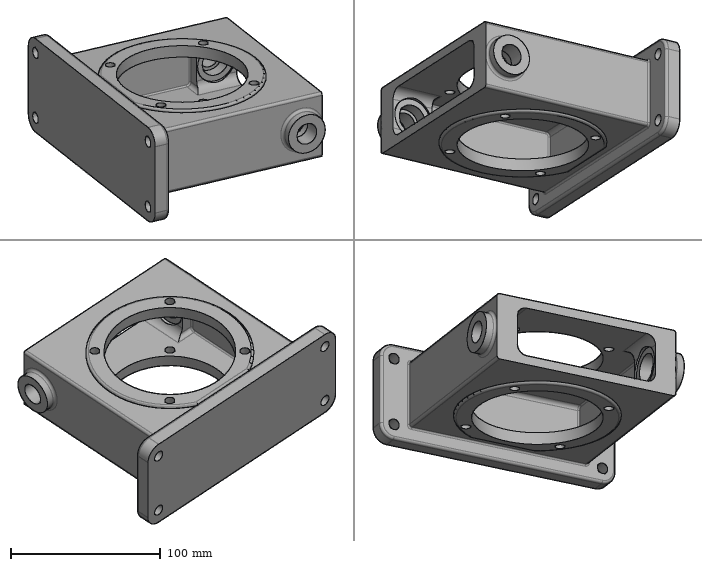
import cadquery as cq

PLATE_LENGTH = 177.5
PLATE_HEIGHT = 69.5
PLATE_THICKNESS = 11.0
PLATE_CORNER_RADIUS = 10.1
PLATE_HOLE_DIAMETER = 7.6
PLATE_HOLE_INSET_X = 10.1
PLATE_HOLE_INSET_Z = 10.7

OVERALL_DEPTH = 139.0
BODY_WIDTH = 135.0
BODY_HEIGHT = 48.0
EDGE_ROUND = 2.0
PLATE_JOINT_ROUND = 1.2

WALL = 6.5
STEP_ROUND = 3.0
SIDE_ROUND = 1.0
THROAT_DEPTH = 30.5
THROAT_ROUND = 7.0
THROAT_WIDTH = 104.0

FLANGE_CENTER_X = 0.5
FLANGE_CENTER_Y = 68.7
FLANGE_DIAMETER = 112.5
FLANGE_RISE = 2.0
FLANGE_ROUND = 1.8
FLANGE_FLAT_Y = 18.0
OPENING_DIAMETER = 88.0
FLANGE_HOLE_DIAMETER = 6.5
FLANGE_HOLE_SPACING = 71.0

BOSS_CENTER_Y = 123.4
BOSS_DIAMETER = 28.0
BOSS_SPAN = 149.3
BORE_DIAMETER = 15.0
SPOTFACE_DIAMETER = 28.4
SPOTFACE_DEPTH = 1.2
SEAT_DIAMETER = 19.9
SEAT_DEPTH = 8.9

CAVITY_HEIGHT = BODY_HEIGHT - 2 * WALL
CHAMBER_WIDTH = BODY_WIDTH - 2 * WALL
THROAT_START_Y = OVERALL_DEPTH - THROAT_DEPTH
SPOTFACE_SPAN = THROAT_WIDTH + 2 * SPOTFACE_DEPTH
FLANGE_SPAN = BODY_HEIGHT + 2 * FLANGE_RISE
BOSS_RADIUS = BOSS_DIAMETER / 2


def box_along_y(width, height, y_start, y_end):
    """Box centred on X and Z that reaches from y_start to y_end."""
    return cq.Workplane("XY").box(width, y_end - y_start, height).translate((0, (y_start + y_end) / 2, 0))


def cylinder_along_x(diameter, length):
    """Cylinder on the bore axis, centred on X = 0."""
    return cq.Workplane("YZ").center(BOSS_CENTER_Y, 0).circle(diameter / 2).extrude(length / 2, both=True)


def cylinder_along_z(diameter, length):
    """Cylinder on the flange axis, centred on Z = 0."""
    axis = cq.Workplane("XY").center(FLANGE_CENTER_X, FLANGE_CENTER_Y)
    return axis.circle(diameter / 2).extrude(length / 2, both=True)


def make_plate():
    plate = box_along_y(PLATE_LENGTH, PLATE_HEIGHT, 0, PLATE_THICKNESS)
    plate = plate.edges("|Y").fillet(PLATE_CORNER_RADIUS)
    return plate.faces(">Y").edges().fillet(EDGE_ROUND)


def make_plate_holes():
    spacing_x = PLATE_LENGTH - 2 * PLATE_HOLE_INSET_X
    spacing_z = PLATE_HEIGHT - 2 * PLATE_HOLE_INSET_Z
    holes = cq.Workplane("XZ").rect(spacing_x, spacing_z, forConstruction=True).vertices()
    return holes.circle(PLATE_HOLE_DIAMETER / 2).extrude(-PLATE_THICKNESS)


def make_housing():
    """Plate and solid housing block, blended together at the joint."""
    body = box_along_y(BODY_WIDTH, BODY_HEIGHT, PLATE_THICKNESS, OVERALL_DEPTH)
    body = body.edges("|Y").fillet(EDGE_ROUND)
    joint_corner = cq.Vector(BODY_WIDTH / 2, PLATE_THICKNESS, BODY_HEIGHT / 2)
    opposite_corner = cq.Vector(-BODY_WIDTH / 2, PLATE_THICKNESS, -BODY_HEIGHT / 2)
    margin = cq.Vector(EDGE_ROUND, EDGE_ROUND, EDGE_ROUND) / 2
    joint = cq.selectors.BoxSelector((opposite_corner - margin).toTuple(), (joint_corner + margin).toTuple())
    return make_plate().union(body).edges(joint).fillet(PLATE_JOINT_ROUND)


def make_flanges():
    """Flanges on both faces, as one disc through the housing with a flat on its front side."""
    disc = cylinder_along_z(FLANGE_DIAMETER, FLANGE_SPAN)
    behind_flat = box_along_y(BODY_WIDTH, FLANGE_SPAN, FLANGE_FLAT_Y, OVERALL_DEPTH)
    return disc.intersect(behind_flat).faces("<Z or >Z").edges().fillet(FLANGE_ROUND)


def make_bosses():
    """Bosses on both sides, flared into the walls and cut off level with the open back."""
    wall_x = BODY_WIDTH / 2
    end_x = BOSS_SPAN / 2
    profile = (
        cq.Workplane("XY")
        .lineTo(0, BOSS_RADIUS + EDGE_ROUND)
        .lineTo(wall_x, BOSS_RADIUS + EDGE_ROUND)
        .radiusArc((wall_x + EDGE_ROUND, BOSS_RADIUS), -EDGE_ROUND)
        .lineTo(end_x, BOSS_RADIUS)
        .lineTo(end_x, 0)
        .close()
    )
    boss = profile.revolve(360, (0, 0), (1, 0)).translate((0, BOSS_CENTER_Y, 0))
    bosses = boss.union(boss.mirror("YZ"))
    return bosses.intersect(box_along_y(BOSS_SPAN, BODY_HEIGHT, PLATE_THICKNESS, OVERALL_DEPTH))


def make_cavity():
    """Wide chamber behind the plate, a narrower throat to the open back and the recesses around the bore."""
    chamber = box_along_y(CHAMBER_WIDTH, CAVITY_HEIGHT, PLATE_THICKNESS, THROAT_START_Y)
    chamber = chamber.edges("|X").fillet(STEP_ROUND)
    chamber = chamber.faces("<X or >X").edges().fillet(SIDE_ROUND)
    throat = box_along_y(THROAT_WIDTH, CAVITY_HEIGHT, FLANGE_CENTER_Y, OVERALL_DEPTH)
    throat = throat.edges("|Y").fillet(THROAT_ROUND)
    spotfaces = cylinder_along_x(SPOTFACE_DIAMETER, SPOTFACE_SPAN)
    seats = cylinder_along_x(SEAT_DIAMETER, SPOTFACE_SPAN + 2 * SEAT_DEPTH)
    return chamber.union(throat).union(spotfaces).union(seats)


def make_flange_holes():
    """Large opening and four screw holes through both flanges."""
    pattern = cq.Workplane("XY").center(FLANGE_CENTER_X, FLANGE_CENTER_Y)
    pattern = pattern.rect(FLANGE_HOLE_SPACING, FLANGE_HOLE_SPACING, forConstruction=True).vertices()
    screw_holes = pattern.circle(FLANGE_HOLE_DIAMETER / 2).extrude(FLANGE_SPAN / 2, both=True)
    return cylinder_along_z(OPENING_DIAMETER, FLANGE_SPAN).union(screw_holes)


solid = make_housing().union(make_flanges()).union(make_bosses())
result = (
    solid.cut(make_cavity())
    .cut(make_flange_holes())
    .cut(cylinder_along_x(BORE_DIAMETER, BOSS_SPAN))
    .cut(make_plate_holes())
)